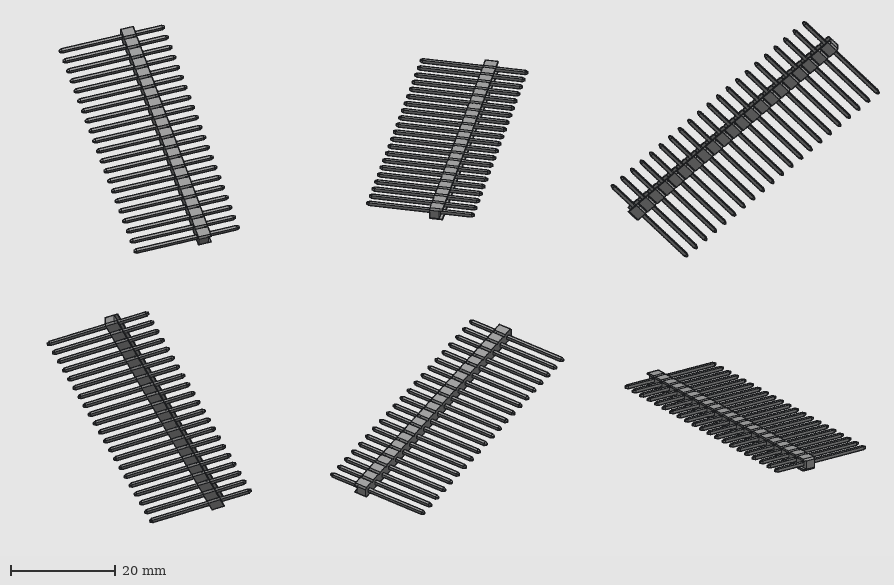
import cadquery as cq

pin_count = 21
pitch = 2.54
pin_length = 21.1
pin_width = 0.64
pin_tip_width = 0.3
pin_tip_length = 0.5
pin_center_z = -0.05

body_length = pin_count * pitch
body_height = 2.5
body_depth = 2.5
first_pin_to_left_end = 1.17
left_end_x = -first_pin_to_left_end

notch_depth = 0.4
flat_top_width = 1.9
notch_width = pitch - flat_top_width

back_recess_depth = 0.6
recess_overlap = 0.02
back_recess_height = body_height - 2 * (notch_depth - recess_overlap)

pin_front_y = -12.6
pin_back_y = pin_front_y + pin_length


def make_notch(notch_x, side):
    """V groove across the top (side = 1) or bottom (side = -1) of the body."""
    surface_z = side * body_height / 2
    root_z = surface_z - side * notch_depth
    return (
        cq.Workplane("XZ")
        .moveTo(notch_x - notch_width / 2, surface_z)
        .lineTo(notch_x, root_z)
        .lineTo(notch_x + notch_width / 2, surface_z)
        .close()
        .extrude(-body_depth)
    )


def make_body():
    """Bar with a recess along its back face, notched at every cell boundary."""
    center_x = left_end_x + body_length / 2
    bar = cq.Workplane("XY").box(body_length, body_depth, body_height)
    body = bar.translate((center_x, body_depth / 2, 0))
    recess = cq.Workplane("XY").box(body_length, back_recess_depth, back_recess_height)
    body = body.cut(recess.translate((center_x, body_depth - back_recess_depth / 2, 0)))
    notches = []
    for boundary in range(pin_count + 1):
        notch_x = left_end_x + boundary * pitch
        for side in (-1, 1):
            notches.append(make_notch(notch_x, side).val())
    return body.cut(cq.Workplane(cq.Compound.makeCompound(notches)))


def make_pin_tip(pin_x, base_y, direction):
    """Tapered tip that starts at base_y and points along direction * Y."""
    base = cq.Plane(origin=(pin_x, base_y, pin_center_z), xDir=(1, 0, 0), normal=(0, direction, 0))
    return (
        cq.Workplane(base)
        .rect(pin_width, pin_width)
        .workplane(offset=pin_tip_length)
        .rect(pin_tip_width, pin_tip_width)
        .loft(ruled=True)
    )


def make_pin(pin_x):
    """Square pin along Y with a tapered tip at each end."""
    shank_length = pin_length - 2 * pin_tip_length
    shank = cq.Workplane("XY").box(pin_width, shank_length, pin_width)
    pin = shank.translate((pin_x, (pin_front_y + pin_back_y) / 2, pin_center_z))
    pin = pin.union(make_pin_tip(pin_x, pin_front_y + pin_tip_length, -1))
    return pin.union(make_pin_tip(pin_x, pin_back_y - pin_tip_length, 1))


pins = [make_pin(pin_index * pitch).val() for pin_index in range(pin_count)]
result = make_body().union(cq.Workplane(cq.Compound.makeCompound(pins)))